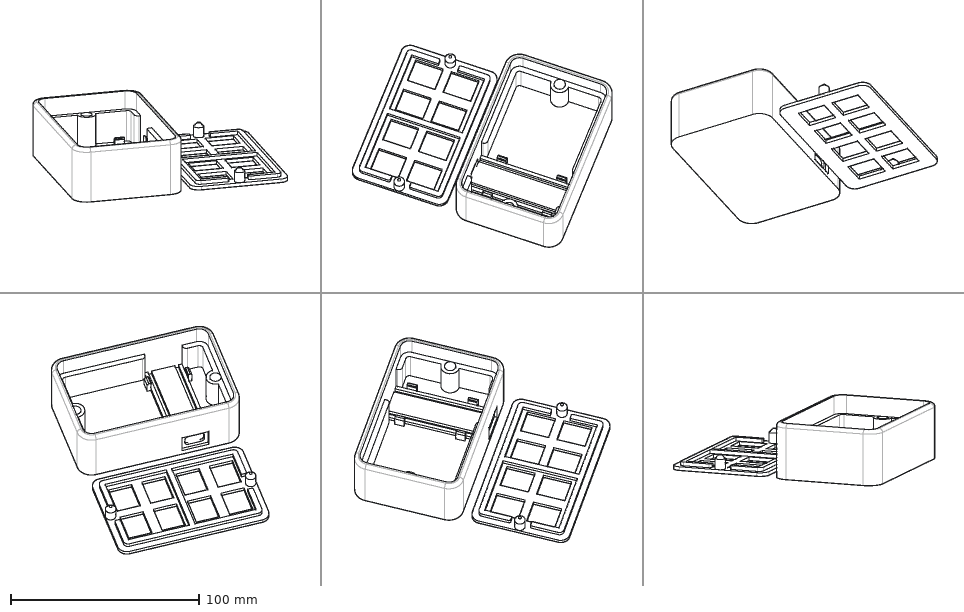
import cadquery as cq

HOUSING_LENGTH = 90.0
HOUSING_WIDTH = 60.0
HOUSING_HEIGHT = 30.0
HOUSING_CORNER_RADIUS = 8.0
RIM_ROUNDING = 2.0
WALL = 3.0
LEDGE_WIDTH = 3.0
LEDGE_DEPTH = 10.0
FLOOR = 3.0
CAVITY_CORNER_RADIUS = 2.0

POST_DIAMETER = 10.0
PIN_HOLE_DIAMETER = 6.0

BAY_CENTER_X = -18.5
BAY_WIDTH = 21.0
BAY_CORNER_RADIUS = 2.0
PLATFORM_HEIGHT = 2.0
GROOVE_SPACING = 15.0
GROOVE_WIDTH = 2.0
CLIP_SPACING = 33.8
CLIP_CENTER_Y = -1.4
CLIP_LENGTH = 5.1
CLIP_THICKNESS = 2.0
CLIP_CHAMFER = 1.0
CLIP_HEIGHT = 5.6
CLIP_HOOK = 0.5

OPENING_WIDTH = 11.0
OPENING_HEIGHT = 6.1
OPENING_CORNER_RADIUS = 2.0
PLUG_RECESS_MARGIN = 2.0
PLUG_RECESS_DEPTH = 1.5

LID_GAP = 5.0
LID_THICKNESS = 2.0
LIP_INSET = 3.5
LIP_WIDTH = 3.0
LIP_HEIGHT = 2.0
LIP_CORNER_RADIUS = 2.5
LIP_GAP = 11.0
LIP_END_RADIUS = 1.0
WINDOW_LENGTH = 12.9
WINDOW_WIDTH = 15.6
WINDOW_COLUMNS = (-28.1, -9.5, 9.5, 28.1)
WINDOW_ROWS = (-10.1, 10.1)
PIN_DIAMETER = 5.6
PIN_TOP = 9.6
PIN_CHAMFER = 2.0

RECESS_LENGTH = HOUSING_LENGTH - 2 * WALL
RECESS_WIDTH = HOUSING_WIDTH - 2 * WALL
RECESS_CORNER_RADIUS = HOUSING_CORNER_RADIUS - WALL
CAVITY_LENGTH = RECESS_LENGTH - 2 * LEDGE_WIDTH
CAVITY_WIDTH = RECESS_WIDTH - 2 * LEDGE_WIDTH
LEDGE_Z = HOUSING_HEIGHT - LEDGE_DEPTH
POST_X = CAVITY_LENGTH / 2
LID_CENTER_Y = HOUSING_WIDTH / 2 + LID_GAP + RECESS_WIDTH / 2
LIP_TOP = LID_THICKNESS + LIP_HEIGHT

SELECT_MARGIN = 0.1


def block(length, width, bottom, top, x=0, y=0):
    """Box centred on (x, y) that spans the heights from bottom to top."""
    return cq.Workplane("XY", origin=(x, y, bottom)).rect(length, width).extrude(top - bottom)


def rounded_block(length, width, bottom, top, radius):
    return block(length, width, bottom, top).edges("|Z").fillet(radius)


def cylinder(diameter, bottom, top, x):
    return cq.Workplane("XY", origin=(x, 0, bottom)).circle(diameter / 2).extrude(top - bottom)


def box_around(x, length, width):
    """Selector for the edges inside a full-height box centred on (x, 0), just larger than the sizes."""
    half_length = length / 2 + SELECT_MARGIN
    half_width = width / 2 + SELECT_MARGIN
    return cq.selectors.BoxSelector(
        (x - half_length, -half_width, 0),
        (x + half_length, half_width, HOUSING_HEIGHT),
    )


def make_clip():
    """Snap clip for the +X side of the bay, with its board edge at x = 0."""
    base = FLOOR
    top = base + CLIP_HEIGHT
    profile = [
        (0, base),
        (0, top - 2 * CLIP_HOOK),
        (-CLIP_HOOK, top - CLIP_HOOK),
        (0, top),
        (CLIP_THICKNESS - CLIP_CHAMFER, top),
        (CLIP_THICKNESS, top - CLIP_CHAMFER),
        (CLIP_THICKNESS, base),
    ]
    return cq.Workplane("XZ").polyline(profile).close().extrude(CLIP_LENGTH / 2, both=True)


def make_cable_opening():
    """Slot level with the platform, and the plug recess around it on the outside."""
    bottom = FLOOR + PLATFORM_HEIGHT
    top = bottom + OPENING_HEIGHT
    outside_y = HOUSING_WIDTH / 2
    slot = block(OPENING_WIDTH, WALL, bottom, top, BAY_CENTER_X, outside_y - WALL / 2)
    slot = slot.edges("|Y").fillet(OPENING_CORNER_RADIUS)
    plug_recess = block(
        OPENING_WIDTH + 2 * PLUG_RECESS_MARGIN,
        PLUG_RECESS_DEPTH,
        bottom - PLUG_RECESS_MARGIN,
        top + PLUG_RECESS_MARGIN,
        BAY_CENTER_X,
        outside_y - PLUG_RECESS_DEPTH / 2,
    )
    return slot.union(plug_recess)


def make_cavity():
    """Space below the ledge: the main pocket and the bay, with rounded ledge ends beside the bay."""
    pocket = rounded_block(CAVITY_LENGTH, CAVITY_WIDTH, FLOOR, LEDGE_Z, CAVITY_CORNER_RADIUS)
    bay = block(BAY_WIDTH, RECESS_WIDTH, FLOOR, LEDGE_Z, BAY_CENTER_X)
    bay_mouth = box_around(BAY_CENTER_X, BAY_WIDTH, CAVITY_WIDTH)
    return pocket.union(bay).edges("|Z").edges(bay_mouth).fillet(BAY_CORNER_RADIUS)


def make_platform():
    """Raised bay floor with a groove along each side."""
    top = FLOOR + PLATFORM_HEIGHT
    platform = block(BAY_WIDTH, RECESS_WIDTH, FLOOR, top, BAY_CENTER_X)
    for side in (-1, 1):
        groove_x = BAY_CENTER_X + side * GROOVE_SPACING / 2
        platform = platform.cut(block(GROOVE_WIDTH, RECESS_WIDTH, FLOOR, top, groove_x))
    return platform


def make_housing():
    body = rounded_block(HOUSING_LENGTH, HOUSING_WIDTH, 0, HOUSING_HEIGHT, HOUSING_CORNER_RADIUS)
    body = body.faces(">Z").edges().fillet(RIM_ROUNDING)
    recess = rounded_block(RECESS_LENGTH, RECESS_WIDTH, LEDGE_Z, HOUSING_HEIGHT, RECESS_CORNER_RADIUS)
    body = body.cut(recess).cut(make_cavity()).union(make_platform())
    for side in (-1, 1):
        post = cylinder(POST_DIAMETER, FLOOR, LEDGE_Z, side * POST_X)
        pin_hole = cylinder(PIN_HOLE_DIAMETER, FLOOR, LEDGE_Z, side * POST_X)
        body = body.union(post).cut(pin_hole)
    right_clip = make_clip().translate((BAY_WIDTH / 2, 0, 0))
    for clip in (right_clip, right_clip.mirror("YZ")):
        for side in (-1, 1):
            clip_y = CLIP_CENTER_Y + side * CLIP_SPACING / 2
            body = body.union(clip.translate((BAY_CENTER_X, clip_y, 0)))
    return body.cut(make_cable_opening())


def make_lip():
    """Lip frame, open beside the pins, with a bar across its middle."""
    length = RECESS_LENGTH - 2 * LIP_INSET
    width = RECESS_WIDTH - 2 * LIP_INSET
    lip = rounded_block(length, width, LID_THICKNESS, LIP_TOP, LIP_CORNER_RADIUS)
    lip = lip.cut(block(length - 2 * LIP_WIDTH, width - 2 * LIP_WIDTH, LID_THICKNESS, LIP_TOP))
    lip = lip.cut(block(RECESS_LENGTH, LIP_GAP, LID_THICKNESS, LIP_TOP))
    for side in (-1, 1):
        outer_end_corners = box_around(side * length / 2, 0, LIP_GAP)
        lip = lip.edges("|Z").edges(outer_end_corners).fillet(LIP_END_RADIUS)
    return lip.union(block(LIP_WIDTH, width - LIP_WIDTH, LID_THICKNESS, LIP_TOP))


def make_lid():
    plate = rounded_block(RECESS_LENGTH, RECESS_WIDTH, 0, LID_THICKNESS, RECESS_CORNER_RADIUS)
    lid = plate.union(make_lip())
    for x in WINDOW_COLUMNS:
        for y in WINDOW_ROWS:
            lid = lid.cut(block(WINDOW_LENGTH, WINDOW_WIDTH, 0, LID_THICKNESS, x, y))
    for side in (-1, 1):
        pin = cylinder(PIN_DIAMETER, LID_THICKNESS, PIN_TOP, side * POST_X)
        lid = lid.union(pin.faces(">Z").edges().chamfer(PIN_CHAMFER))
    return lid.translate((0, LID_CENTER_Y, 0))


housing = make_housing()
lid = make_lid()

result = cq.Compound.makeCompound([housing.val(), lid.val()])